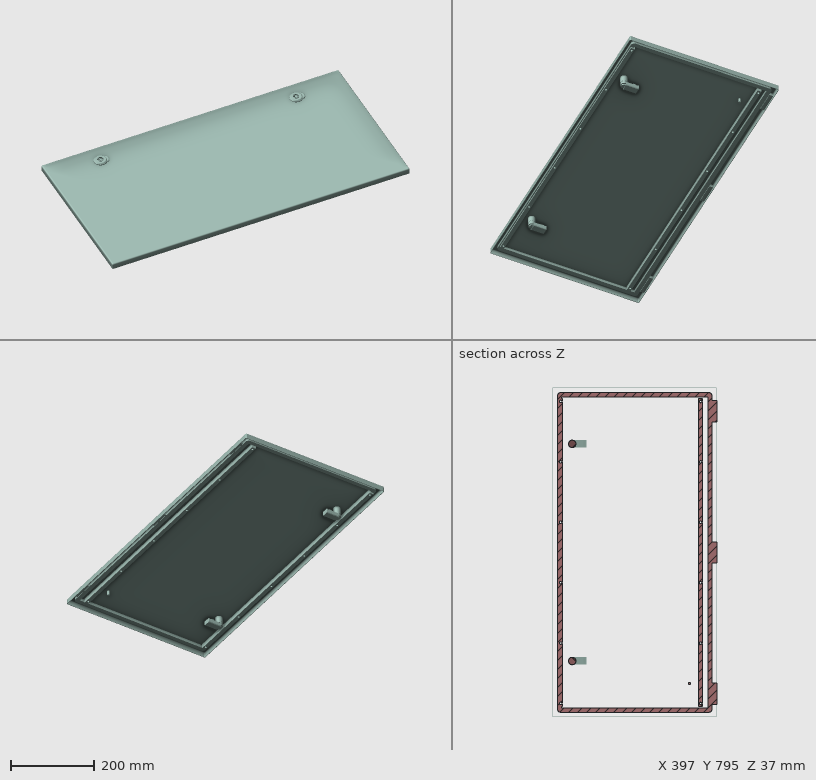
import cadquery as cq


DOOR_WIDTH = 397.0
DOOR_LENGTH = 795.0
DOOR_DEPTH = 15.0
SHEET = 1.2
BEND_RADIUS = 3.0
INNER_BEND_RADIUS = BEND_RADIUS - SHEET

GASKET_INSET = 12.0
GASKET_WIDTH = 11.0
GASKET_HEIGHT = 8.0
GASKET_CORNER_RADIUS = 8.0

RAIL_WIDTH = 10.0
RAIL_LENGTH = 742.5
RAIL_HEIGHT = 12.0
LOCK_RAIL_INSET = 20.0
HINGE_RAIL_INSET = 40.0
RAIL_XS = (LOCK_RAIL_INSET - DOOR_WIDTH / 2, DOOR_WIDTH / 2 - HINGE_RAIL_INSET)
RAIL_HOLE_DIAMETER = 5.0
RAIL_HOLE_COUNT = 6
RAIL_HOLE_PITCH = 145.5

HINGE_LENGTH = 52.5
HINGE_HEIGHT = 8.0
HINGE_PITCH = 340.0
HINGE_GAP = 1.0

STUD_DIAMETER = 6.5
STUD_LENGTH = 12.0
STUD_X = DOOR_WIDTH / 2 - 67.0
STUD_Y = 82.0 - DOOR_LENGTH / 2

LOCK_X = 48.0 - DOOR_WIDTH / 2
LOCK_SPACING = 523.0
LOCK_YS = (-LOCK_SPACING / 2, LOCK_SPACING / 2)

HEAD_RADIUS = 17.0
HEAD_TOP_RADIUS = 13.5
HEAD_HEIGHT = 5.0
HEAD_RIM_HEIGHT = 2.0
LOBE_RADIUS = 12.0
LOBE_TOP_RADIUS = 9.5
LOBE_OFFSET = 11.0
LOBE_HEIGHT = 3.0

INSERT_DIAMETER = 16.0
INSERT_DEPTH = 1.0
KEYWAY_DIAMETER = 14.0
KEYWAY_DEPTH = 4.0
KEY_PIN_DIAMETER = 5.0
KEY_CORE_DIAMETER = 10.0
KEY_SLOT_WIDTH = 5.9

BARREL_DIAMETER = 19.0
SHOULDER_BOTTOM = -17.5
NUT_DIAMETER = 18.0
NUT_BOTTOM = -27.0
GROOVE_DIAMETER = 17.5
GROOVE_TOP = -20.0
GROOVE_HEIGHT = 5.0
HUB_DIAMETER = 13.0
HUB_BOTTOM = -30.0

CAM_BOTTOM = -32.0
CAM_TOP = -21.5
CAM_REACH = 35.0
CAM_START = 1.5
CAM_WIDTH = 18.0
CAM_EDGE_CHAMFER = 1.5
CAM_RIDGE_HEIGHT = 1.5
CAM_RIDGE_START = 20.0
CAM_RIDGE_LENGTH = 8.0
CAM_LIP_THICKNESS = 2.0


def block(width, length, top, height):
    """Box centred on the Z axis that hangs down from the level top."""
    return cq.Workplane("XY").workplane(offset=top).rect(width, length).extrude(-height)


def cylinder(diameter, top, height):
    """Cylinder on the Z axis that hangs down from the level top."""
    return cq.Workplane("XY").workplane(offset=top).circle(diameter / 2).extrude(-height)


def folded_sheet():
    """Flat sheet whose four sides are folded down, with rounded bends and corners."""
    outer = block(DOOR_WIDTH, DOOR_LENGTH, 0, DOOR_DEPTH)
    outer = outer.edges("|Z").fillet(BEND_RADIUS).faces(">Z").edges().fillet(BEND_RADIUS)
    inner = block(DOOR_WIDTH - 2 * SHEET, DOOR_LENGTH - 2 * SHEET, -SHEET, DOOR_DEPTH)
    inner = inner.edges("|Z").fillet(INNER_BEND_RADIUS).faces(">Z").edges().fillet(INNER_BEND_RADIUS)
    return outer.cut(inner)


def gasket():
    """Rectangular sealing ring with rounded outer corners."""
    outer_width = DOOR_WIDTH - 2 * GASKET_INSET
    outer_length = DOOR_LENGTH - 2 * GASKET_INSET
    ring = block(outer_width, outer_length, -SHEET, GASKET_HEIGHT)
    ring = ring.edges("|Z").fillet(GASKET_CORNER_RADIUS)
    inner_width = outer_width - 2 * GASKET_WIDTH
    inner_length = outer_length - 2 * GASKET_WIDTH
    opening = block(inner_width, inner_length, -SHEET, GASKET_HEIGHT)
    return ring.cut(opening)


def rail(x):
    """Long stiffening strip along Y."""
    return block(RAIL_WIDTH, RAIL_LENGTH, -SHEET, RAIL_HEIGHT).translate((x, 0, 0))


def rail_holes(x):
    """Row of holes through a rail, ending at the sheet."""
    row = cq.Workplane("XY").workplane(offset=-SHEET).center(x, 0)
    row = row.rarray(RAIL_WIDTH, RAIL_HOLE_PITCH, 1, RAIL_HOLE_COUNT)
    return row.circle(RAIL_HOLE_DIAMETER / 2).extrude(-RAIL_HEIGHT)


def hinge_block(y):
    """Block against the +X flange, a small gap away from the gasket."""
    width = GASKET_INSET - HINGE_GAP - SHEET
    x = DOOR_WIDTH / 2 - SHEET - width / 2
    return block(width, HINGE_LENGTH, -SHEET, HINGE_HEIGHT).translate((x, y, 0))


def door_panel():
    """Folded sheet with gasket, rails, hinge blocks, stud and lock openings as one solid."""
    panel = folded_sheet().union(gasket())
    for x in RAIL_XS:
        panel = panel.union(rail(x))
    for x in RAIL_XS:
        panel = panel.cut(rail_holes(x))
    for y in (-HINGE_PITCH, 0, HINGE_PITCH):
        panel = panel.union(hinge_block(y))
    stud = cq.Workplane("XY").workplane(offset=-SHEET).center(STUD_X, STUD_Y)
    panel = panel.union(stud.circle(STUD_DIAMETER / 2).extrude(-STUD_LENGTH))
    for y in LOCK_YS:
        panel = panel.cut(cylinder(BARREL_DIAMETER, 0, SHEET).translate((LOCK_X, y, 0)))
    return panel


def tapered_disc(bottom_radius, top_radius, rim_height, height):
    """Disc with a straight rim at Z = 0 and a conical side above it."""
    profile = [
        (0, 0),
        (bottom_radius, 0),
        (bottom_radius, rim_height),
        (top_radius, height),
        (0, height),
    ]
    return cq.Workplane("XZ").polyline(profile).close().revolve(360, (0, 0, 0), (0, 1, 0))


def lock_head():
    """Round escutcheon with a low lobe toward +Y and a double-bit keyway."""
    lobe = tapered_disc(LOBE_RADIUS, LOBE_TOP_RADIUS, HEAD_RIM_HEIGHT, LOBE_HEIGHT)
    head = tapered_disc(HEAD_RADIUS, HEAD_TOP_RADIUS, HEAD_RIM_HEIGHT, HEAD_HEIGHT)
    head = head.union(lobe.translate((0, LOBE_OFFSET, 0)))
    head = head.cut(cylinder(INSERT_DIAMETER, HEAD_HEIGHT, INSERT_DEPTH))
    head = head.cut(cylinder(KEYWAY_DIAMETER, HEAD_HEIGHT, KEYWAY_DEPTH))
    key_top = HEAD_HEIGHT - INSERT_DEPTH
    key_height = KEYWAY_DEPTH - INSERT_DEPTH
    core = cylinder(KEY_CORE_DIAMETER, key_top, key_height)
    core = core.cut(block(KEY_SLOT_WIDTH, KEY_CORE_DIAMETER, key_top, key_height))
    return head.union(core).union(cylinder(KEY_PIN_DIAMETER, key_top, key_height))


def lock_barrel():
    """Barrel that passes through the sheet, with a grooved nut and a smaller hub below it."""
    barrel = cylinder(BARREL_DIAMETER, 0, -SHOULDER_BOTTOM)
    nut = cylinder(NUT_DIAMETER, SHOULDER_BOTTOM, SHOULDER_BOTTOM - NUT_BOTTOM)
    groove = cylinder(NUT_DIAMETER, GROOVE_TOP, GROOVE_HEIGHT)
    groove = groove.cut(cylinder(GROOVE_DIAMETER, GROOVE_TOP, GROOVE_HEIGHT))
    hub = cylinder(HUB_DIAMETER, NUT_BOTTOM, NUT_BOTTOM - HUB_BOTTOM)
    return barrel.union(nut.cut(groove)).union(hub)


def lock_cam():
    """Latch arm toward +X with a low ridge and an end lip on its upper side."""
    ridge_top = CAM_TOP + CAM_RIDGE_HEIGHT
    ridge_end = CAM_RIDGE_START + CAM_RIDGE_LENGTH
    lip_start = CAM_REACH - CAM_LIP_THICKNESS
    side_profile = [
        (CAM_START, CAM_BOTTOM),
        (CAM_REACH, CAM_BOTTOM),
        (CAM_REACH, ridge_top),
        (lip_start, ridge_top),
        (lip_start, CAM_TOP),
        (ridge_end, CAM_TOP),
        (ridge_end, ridge_top),
        (CAM_RIDGE_START, ridge_top),
        (CAM_RIDGE_START, CAM_TOP),
        (CAM_START, CAM_TOP),
    ]
    arm = cq.Workplane("XZ").polyline(side_profile).close().extrude(CAM_WIDTH / 2, both=True)
    return arm.faces("<Z").edges("|X").chamfer(CAM_EDGE_CHAMFER)


def lock(y):
    """Complete lock: head on the outer face, barrel through the sheet and cam inside."""
    body = lock_head().union(lock_barrel()).union(lock_cam())
    return body.translate((LOCK_X, y, 0))


panel = door_panel()
locks = [lock(y) for y in LOCK_YS]

result = cq.Compound.makeCompound([panel.val(), *[body.val() for body in locks]])